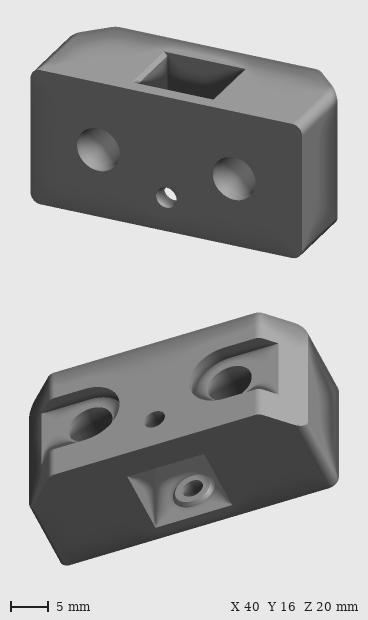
import cadquery as cq

length = 40.0
depth = 16.0
height = 20.0
edge_radius = 1.5
corner_chamfer = 5.0

mount_offset = length / 4
mount_diameter = 6.3
recess_width = 10.0
recess_depth = 2.0

window_length = 11.0
window_depth = 10.0
window_front = 2.0
window_back = window_front + window_depth
window_chamfer = 0.5

pin_diameter = 3.0
pin_height = -height / 4
boss_base_diameter = 6.0
boss_tip_diameter = 5.0
boss_height = (boss_base_diameter - boss_tip_diameter) / 2


def along_y(start_y):
    """Workplane at start_y, facing +Y, with its local x along -X and y along +Z."""
    return cq.Workplane(cq.Plane(origin=(0, start_y, 0), xDir=(-1, 0, 0), normal=(0, 1, 0)))


def make_block():
    block = along_y(0).rect(length, height).extrude(depth)
    block = block.edges("|Y").fillet(edge_radius)
    half = length / 2
    profile = (
        cq.Workplane("XY")
        .polyline([
            (-half, 0),
            (half, 0),
            (half, depth - corner_chamfer),
            (half - corner_chamfer, depth),
            (-half + corner_chamfer, depth),
            (-half, depth - corner_chamfer),
        ])
        .close()
        .extrude(height / 2, both=True)
    )
    profile = profile.edges("|Z and >Y").fillet(edge_radius)
    return block.intersect(profile)


def make_window():
    """Rectangular opening, with its two end walls flared at the top."""
    top = height / 2
    half = window_length / 2
    return (
        cq.Workplane("XZ", origin=(0, window_back, 0))
        .polyline([
            (-half, -top),
            (half, -top),
            (half, top - window_chamfer),
            (half + window_chamfer, top),
            (-half - window_chamfer, top),
            (-half, top - window_chamfer),
        ])
        .close()
        .extrude(window_depth)
    )


def make_boss(wall_y, direction):
    return cq.Workplane(
        cq.Solid.makeCone(
            boss_base_diameter / 2,
            boss_tip_diameter / 2,
            boss_height,
            cq.Vector(0, wall_y, pin_height),
            cq.Vector(0, direction, 0),
        )
    )


def make_recess(side):
    """Slot in the back face, rounded about the mounting hole and open outward."""
    floor = along_y(depth - recess_depth)
    round_end = floor.center(-side * mount_offset, 0).circle(recess_width / 2).extrude(recess_depth)
    run = length / 2 - mount_offset
    middle = -side * (mount_offset + run / 2)
    return round_end.union(floor.center(middle, 0).rect(run, recess_width).extrude(recess_depth))


result = make_block().cut(make_window())
result = result.union(make_boss(window_front, 1))
result = result.union(make_boss(window_back, -1))

mount_positions = [(-mount_offset, 0), (mount_offset, 0)]
result = result.cut(along_y(0).pushPoints(mount_positions).circle(mount_diameter / 2).extrude(depth))
result = result.cut(along_y(0).center(0, pin_height).circle(pin_diameter / 2).extrude(depth))
for side in (-1, 1):
    result = result.cut(make_recess(side))